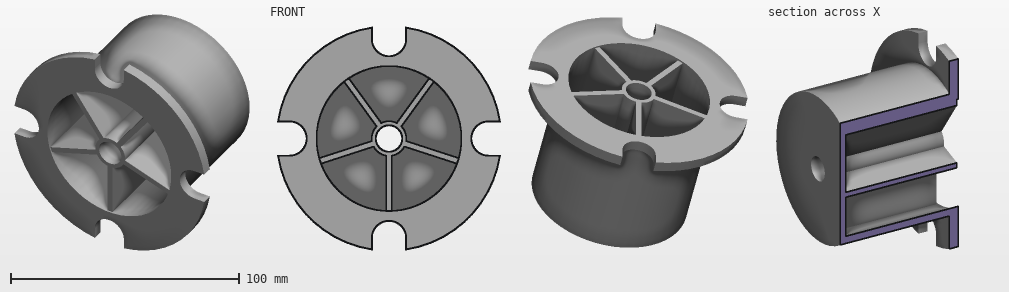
import cadquery as cq
import math

overall_width = 97.3
flange_thickness = 4.8
slot_width = 14.9
slot_bottom_radius = 36.1
slot_count = 4

overall_length = 61.0
barrel_diameter = 69.8
wall_thickness = 3.1
floor_thickness = wall_thickness

hub_diameter = 15.2
bore_diameter = 11.5
rib_thickness = 2.5
rib_count = 5
rib_recess = 0.8

flange_radius = math.hypot(overall_width / 2, slot_width / 2)
cavity_radius = barrel_diameter / 2 - wall_thickness
cavity_depth = overall_length - floor_thickness
rib_depth = cavity_depth - rib_recess


def cylinder(radius, start, length):
    """Solid cylinder on the Y axis, running toward +Y from y = start."""
    axis = cq.Vector(0, 1, 0)
    return cq.Workplane(obj=cq.Solid.makeCylinder(radius, length, cq.Vector(0, start, 0), axis))


def edge_slot():
    """Round-bottomed cutter that opens through the flange edge toward -Z."""
    slot_radius = slot_width / 2
    arc_center = slot_bottom_radius + slot_radius
    straight_length = flange_radius - arc_center
    round_end = cylinder(slot_radius, 0, flange_thickness).translate((0, 0, -arc_center))
    straight = (
        cq.Workplane("XY")
        .box(slot_width, flange_thickness, straight_length, centered=(True, False, False))
        .translate((0, 0, -flange_radius))
    )
    return round_end.union(straight)


def rib():
    """Radial rib from the axis toward -Z, ending inside the barrel wall."""
    rib_length = cavity_radius + wall_thickness / 2
    return (
        cq.Workplane("XY")
        .box(rib_thickness, rib_depth, rib_length, centered=(True, False, False))
        .translate((0, rib_recess, -rib_length))
    )


def around_axis(shape, count):
    """Equally spaced copies of a shape around the Y axis."""
    step = 360 / count
    return [shape.rotate((0, 0, 0), (0, 1, 0), index * step) for index in range(count)]


flange = cylinder(flange_radius, 0, flange_thickness)
for slot in around_axis(edge_slot(), slot_count):
    flange = flange.cut(slot)

result = flange.union(cylinder(barrel_diameter / 2, 0, overall_length))
result = result.cut(cylinder(cavity_radius, 0, cavity_depth))

result = result.union(cylinder(hub_diameter / 2, rib_recess, rib_depth))
for spoke in around_axis(rib(), rib_count):
    result = result.union(spoke)
result = result.cut(cylinder(bore_diameter / 2, 0, overall_length))